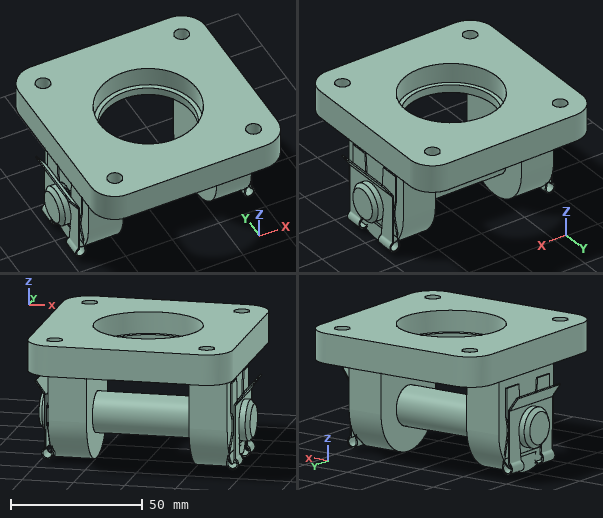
import cadquery as cq
import math


plate_side = 80.0
plate_thickness = 12.0
plate_top = 35.0
plate_bottom = plate_top - plate_thickness
corner_radius = 10.3
bolt_hole_diameter = 5.9
bolt_spacing = plate_side - 2 * corner_radius
bore_diameter = 41.9
bore_depth = 8.5
bore_lip_diameter = 38.3

lug_inner_x = 20.0
lug_outer_x = 35.0
lug_thickness = lug_outer_x - lug_inner_x
lug_radius = 18.0

pin_length = 82.5
pin_radius = 8.0
pin_chamfer = 1.6
groove_radius = 6.0
groove_inner_x = 34.6

clip_thickness = 0.6
clip_width = 28.05
outer_leg_x = 37.0
flare_start_z = 9.1
flare_tip_x = 40.8
flare_tip_z = 14.5
curl_x = 36.1
curl_z = -13.9
curl_radius = 2.1
curl_fillet_radius = 0.7
arch_peak_x = 36.3
arch_peak_z = 1.1
arch_radius = 21.45
inner_leg_x = 35.6
inner_leg_top = 17.7

slot_foot_half_width = 6.1
slot_wide_half_width = 7.7
slot_wide_z = -math.sqrt(pin_radius**2 - slot_wide_half_width**2)
tongue_end_z = -11.5
mouth_top_half_width = 6.1
mouth_throat_half_width = 4.6

groove_outer_x = outer_leg_x - clip_thickness / 2
groove_width = groove_outer_x - groove_inner_x


def x_cylinder(radius, start_x, length):
    """Cylinder on the pin axis, from start_x towards +X."""
    return cq.Workplane("YZ", origin=(start_x, 0, 0)).circle(radius).extrude(length)


def make_plate():
    plate = (
        cq.Workplane("XY", origin=(0, 0, plate_bottom))
        .rect(plate_side, plate_side)
        .extrude(plate_thickness)
        .edges("|Z")
        .fillet(corner_radius)
    )
    return (
        plate.faces(">Z").workplane()
        .cboreHole(bore_lip_diameter, bore_diameter, bore_depth)
        .faces(">Z").workplane()
        .rect(bolt_spacing, bolt_spacing, forConstruction=True)
        .vertices()
        .hole(bolt_hole_diameter)
    )


def make_lug(start_x):
    """Round-ended lug with a pin hole, hanging from the plate."""
    lug = (
        cq.Workplane("YZ", origin=(start_x, 0, 0))
        .moveTo(-lug_radius, plate_bottom)
        .lineTo(-lug_radius, 0)
        .threePointArc((0, -lug_radius), (lug_radius, 0))
        .lineTo(lug_radius, plate_bottom)
        .close()
        .extrude(lug_thickness)
    )
    return lug.cut(x_cylinder(pin_radius, start_x, lug_thickness))


def make_pin():
    pin = x_cylinder(pin_radius, -pin_length / 2, pin_length).faces("<X or >X").chamfer(pin_chamfer)
    for groove_start in (groove_inner_x, -groove_outer_x):
        groove = x_cylinder(pin_radius, groove_start, groove_width)
        core = x_cylinder(groove_radius, groove_start, groove_width)
        pin = pin.cut(groove.cut(core))
    return pin


def clip_side(offset):
    """Profile points of one face of the strip, offset towards +X on the outer leg.

    They run from the flare tip down the outer leg, round the curl, and up the inner leg.
    """
    flare_angle = math.atan2(flare_tip_x - outer_leg_x, flare_tip_z - flare_start_z)
    tip = (
        flare_tip_x + offset * math.cos(flare_angle),
        flare_tip_z - offset * math.sin(flare_angle),
    )
    leg_x = outer_leg_x + offset
    flare_bend = (leg_x, flare_start_z - offset * math.tan(flare_angle / 2))

    side_curl_radius = curl_radius + offset
    curl_start = (leg_x, curl_z + math.sqrt(side_curl_radius**2 - (leg_x - curl_x) ** 2))
    curl_mid_angle = -math.pi / 4
    curl_mid = (
        curl_x + side_curl_radius * math.cos(curl_mid_angle),
        curl_z + side_curl_radius * math.sin(curl_mid_angle),
    )

    arch_x = arch_peak_x - arch_radius
    center_dx = curl_x - arch_x
    center_dz = curl_z - arch_peak_z
    center_distance = math.hypot(center_dx, center_dz)
    tangent_angle = math.atan2(center_dz, center_dx) + math.acos(
        (curl_radius + arch_radius) / center_distance
    )
    normal_x = math.cos(tangent_angle)
    normal_z = math.sin(tangent_angle)
    curl_end = (curl_x - side_curl_radius * normal_x, curl_z - side_curl_radius * normal_z)
    side_arch_radius = arch_radius - offset
    arch_start = (arch_x + side_arch_radius * normal_x, arch_peak_z + side_arch_radius * normal_z)
    arch_peak = (arch_peak_x - offset, arch_peak_z)

    top_x = inner_leg_x - offset
    arch_end = (top_x, arch_peak_z + math.sqrt(side_arch_radius**2 - (top_x - arch_x) ** 2))
    top = (top_x, inner_leg_top)
    return tip, flare_bend, curl_start, curl_mid, curl_end, arch_start, arch_peak, arch_end, top


def make_clip_strip():
    """Bent strip at full width, before its openings are cut."""
    tip, flare_bend, curl_start, curl_mid, curl_end, arch_start, arch_peak, arch_end, top = clip_side(
        clip_thickness / 2
    )
    fillet_corner = (curl_start[0], 0, curl_start[1])
    outline = (
        cq.Workplane("XZ")
        .moveTo(*tip)
        .lineTo(*flare_bend)
        .lineTo(*curl_start)
        .threePointArc(curl_mid, curl_end)
        .lineTo(*arch_start)
        .threePointArc(arch_peak, arch_end)
        .lineTo(*top)
    )
    tip, flare_bend, curl_start, curl_mid, curl_end, arch_start, arch_peak, arch_end, top = clip_side(
        -clip_thickness / 2
    )
    strip = (
        outline.lineTo(*top)
        .lineTo(*arch_end)
        .threePointArc(arch_peak, arch_start)
        .lineTo(*curl_end)
        .threePointArc(curl_mid, curl_start)
        .lineTo(*flare_bend)
        .lineTo(*tip)
        .close()
        .extrude(clip_width / 2, both=True)
    )
    return strip.edges(cq.NearestToPointSelector(fillet_corner)).fillet(curl_fillet_radius)


def tapered_opening(start_x, end_x, bottom_z, bottom_half_width, top_z, top_half_width):
    """Cutter between two X positions with a trapezoid outline in YZ."""
    return (
        cq.Workplane("YZ", origin=(start_x, 0, 0))
        .polyline([
            (-bottom_half_width, bottom_z),
            (bottom_half_width, bottom_z),
            (top_half_width, top_z),
            (-top_half_width, top_z),
        ])
        .close()
        .extrude(end_x - start_x)
    )


def make_clip():
    """Clip on the +X side, with a hole for the pin end and a fork for the groove."""
    curl_bottom = curl_z - curl_radius - clip_thickness / 2
    curl_inner_x = curl_x - curl_radius - clip_thickness
    curl_outer_x = curl_x + curl_radius + clip_thickness

    pin_hole = x_cylinder(pin_radius, groove_outer_x, clip_thickness)
    slot = tapered_opening(
        curl_inner_x, curl_outer_x, curl_bottom, slot_foot_half_width, slot_wide_z, slot_wide_half_width
    )
    tongue_room = (
        cq.Workplane("XY", origin=(0, 0, tongue_end_z))
        .rect(2 * groove_outer_x, clip_width)
        .extrude(-tongue_end_z)
    )

    groove_hole = x_cylinder(groove_radius, groove_inner_x, groove_width)
    mouth = tapered_opening(
        lug_outer_x, groove_outer_x, 0, mouth_throat_half_width, inner_leg_top, mouth_top_half_width
    )
    return make_clip_strip().cut(pin_hole).cut(slot.cut(tongue_room)).cut(groove_hole).cut(mouth)


right_clip = make_clip()
clips = [right_clip, right_clip.mirror("YZ")]

bracket = make_plate()
for lug_start_x in (lug_inner_x, -lug_outer_x):
    bracket = bracket.union(make_lug(lug_start_x))
for clip in clips:
    bracket = bracket.cut(clip)

pin = make_pin()

bodies = [bracket, pin, *clips]

result = cq.Compound.makeCompound([body.solids().val() for body in bodies])